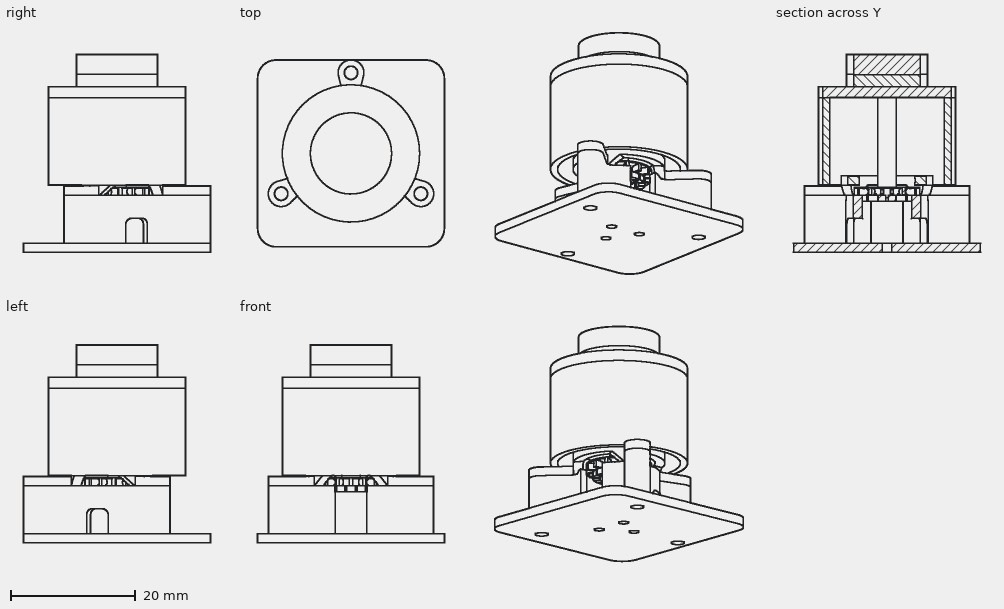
import cadquery as cq
import math

plate_top = 1.5
post_top = 9.2
tab_top = 10.67
sleeve_bottom = 10.8
sleeve_top = 24.85
lid_top = 26.6
neck_top = 28.55
cap_top = 31.77

plate_side = 30.0
plate_corner_radius = 3.0
ring_outer_radius = 6.58
ring_inner_radius = 5.37
post_fillet_radius = 1.5
front_gap_width = 5.08
arch_width = 3.97
arch_top = 5.45
arch_corner_radius = 1.0
floor_hole_diameter = 1.6
floor_hole_circle_radius = 3.3
seam_tolerance = 0.003

lobe_angles = [90, 210, 330]
arch_angles = [30, 150]
lobe_radius = 2.05
lobe_distance = plate_side / 2 - lobe_radius
lobe_taper = 14.0
screw_hole_diameter = 2.1

bracket_outer_radius = 7.37
bracket_inner_radius = 5.78
arm_foot_half_width = 1.02
arm_head_half_width = 2.75
bracket_ring_height = 1.5
tab_neck_start = 7.85

finger_count = 15
cage_bottom = 8.2
cage_disc_bottom = 10.3
cage_disc_top = 10.48
cage_radius = 5.27
column_width = 0.5
column_nose_radius = 3.62
column_end_radius = 4.05
tooth_outer_radius = 4.2
tooth_inner_radius = 3.18
tooth_slot_width = 0.35
stem_diameter = 3.0
hub_ball_diameter = 6.0
hub_ball_height = 11.75

knob_diameter = 22.02
sleeve_bore_diameter = 19.7
button_diameter = 13.03


def cylinder(radius, bottom, top):
    return cq.Workplane("XY").workplane(offset=bottom).circle(radius).extrude(top - bottom)


def tube(outer_radius, inner_radius, bottom, top):
    profile = cq.Workplane("XY").workplane(offset=bottom).circle(outer_radius).circle(inner_radius)
    return profile.extrude(top - bottom)


def turned(shape, angle):
    """Turn a shape modelled along +X about the Z axis."""
    return shape.rotate((0, 0, 0), (0, 0, 1), angle)


def lobe(bottom, top, neck_start):
    """Round-ended lobe along +X, tapering in to a neck of constant width that reaches the axis."""
    taper = math.radians(lobe_taper)
    tangent_x = lobe_distance - lobe_radius * math.sin(taper)
    tangent_y = lobe_radius * math.cos(taper)
    neck_y = tangent_y - (tangent_x - neck_start) * math.tan(taper)
    outline = (
        cq.Workplane("XY")
        .workplane(offset=bottom)
        .moveTo(0, -neck_y)
        .lineTo(neck_start, -neck_y)
        .lineTo(tangent_x, -tangent_y)
        .threePointArc((lobe_distance + lobe_radius, 0), (tangent_x, tangent_y))
        .lineTo(neck_start, neck_y)
        .lineTo(0, neck_y)
        .close()
    )
    return outline.extrude(top - bottom)


def round_hole(diameter, distance, top):
    return cylinder(diameter / 2, 0, top).translate((distance, 0, 0))


def make_base():
    posts = cylinder(ring_outer_radius, plate_top, post_top)
    for angle in lobe_angles:
        posts = posts.union(turned(lobe(plate_top, post_top, ring_inner_radius), angle))
    corners = posts.edges("|Z").filter(
        lambda edge: math.isclose(math.hypot(edge.Center().x, edge.Center().y), ring_outer_radius)
        and not math.isclose(edge.Center().y, 0, abs_tol=seam_tolerance)
    )
    posts = corners.fillet(post_fillet_radius)
    posts = posts.cut(cylinder(ring_inner_radius, plate_top, post_top))

    gap_height = post_top - plate_top
    gap = cq.Workplane("XY").box(
        ring_outer_radius, front_gap_width, gap_height, centered=(False, True, False)
    )
    posts = posts.cut(turned(gap.translate((0, 0, plate_top)), -90))

    arch = cq.Workplane("XY").box(
        ring_outer_radius, arch_width, arch_top - plate_top, centered=(False, True, False)
    )
    arch = arch.edges("|X and >Z").fillet(arch_corner_radius).translate((0, 0, plate_top))
    for angle in arch_angles:
        posts = posts.cut(turned(arch, angle))

    base = cq.Workplane("XY").rect(plate_side, plate_side).extrude(plate_top)
    base = base.edges("|Z").fillet(plate_corner_radius).union(posts)
    for angle in lobe_angles:
        base = base.cut(turned(round_hole(screw_hole_diameter, lobe_distance, post_top), angle))
        base = base.cut(turned(round_hole(floor_hole_diameter, floor_hole_circle_radius, plate_top), angle))
    return base


def make_arm():
    """Upright along +X that flares sideways towards the bracket ring."""
    profile = (
        cq.Workplane("YZ")
        .moveTo(-arm_foot_half_width, post_top)
        .lineTo(arm_foot_half_width, post_top)
        .lineTo(arm_head_half_width, sleeve_bottom)
        .lineTo(-arm_head_half_width, sleeve_bottom)
        .close()
    )
    wall = tube(bracket_outer_radius, bracket_inner_radius, post_top, sleeve_bottom)
    return profile.extrude(bracket_outer_radius).intersect(wall)


def make_bracket():
    ring_top = sleeve_bottom + bracket_ring_height
    bracket = tube(bracket_outer_radius, bracket_inner_radius, sleeve_bottom, ring_top)
    arm = make_arm()
    tab = lobe(post_top, tab_top, tab_neck_start).cut(cylinder(bracket_inner_radius, post_top, tab_top))
    tab = tab.cut(round_hole(screw_hole_diameter, lobe_distance, tab_top))
    for angle in lobe_angles:
        bracket = bracket.union(turned(arm, angle)).union(turned(tab, angle))
    return bracket


def make_column():
    """Column along +X with a rounded inner side and an outer side that follows the disc."""
    column = (
        cq.Workplane("XZ")
        .moveTo(cage_radius, post_top)
        .lineTo(column_end_radius, post_top)
        .threePointArc(
            (column_nose_radius, (post_top + cage_disc_bottom) / 2),
            (column_end_radius, cage_disc_bottom),
        )
        .lineTo(cage_radius, cage_disc_bottom)
        .close()
        .extrude(column_width / 2, both=True)
    )
    return column.intersect(cylinder(cage_radius, post_top, cage_disc_bottom))


def make_hub():
    """Domed underside of the disc: the part of a ball that lies below it."""
    ball = cq.Workplane("XY").sphere(hub_ball_diameter / 2).translate((0, 0, hub_ball_height))
    return ball.intersect(cylinder(cage_radius, cage_bottom, cage_disc_bottom))


def make_cage():
    """Disc with a stem up to the lid, a domed hub, and a ring of columns that end in teeth."""
    pitch = 360 / finger_count
    cage = cylinder(cage_radius, cage_disc_bottom, cage_disc_top)
    cage = cage.union(cylinder(stem_diameter / 2, cage_disc_top, sleeve_top)).union(make_hub())

    teeth = tube(tooth_outer_radius, tooth_inner_radius, cage_bottom, post_top)
    slot = cq.Workplane("XY").box(
        tooth_outer_radius, tooth_slot_width, post_top - cage_bottom, centered=(False, True, False)
    )
    slot = slot.translate((0, 0, cage_bottom))
    column = make_column()
    for index in range(finger_count):
        column_angle = -90 + index * pitch
        teeth = teeth.cut(turned(slot, column_angle + pitch / 2))
        cage = cage.union(turned(column, column_angle))
    return cage.union(teeth)


base = make_base()
bracket = make_bracket()
cage = make_cage()
sleeve = tube(knob_diameter / 2, sleeve_bore_diameter / 2, sleeve_bottom, sleeve_top)
lid = cylinder(knob_diameter / 2, sleeve_top, lid_top)
button_neck = cylinder(button_diameter / 2, lid_top, neck_top)
button_cap = cylinder(button_diameter / 2, neck_top, cap_top)

result = cq.Compound.makeCompound(
    [
        base.val(),
        bracket.val(),
        cage.val(),
        sleeve.val(),
        lid.val(),
        button_neck.val(),
        button_cap.val(),
    ]
)